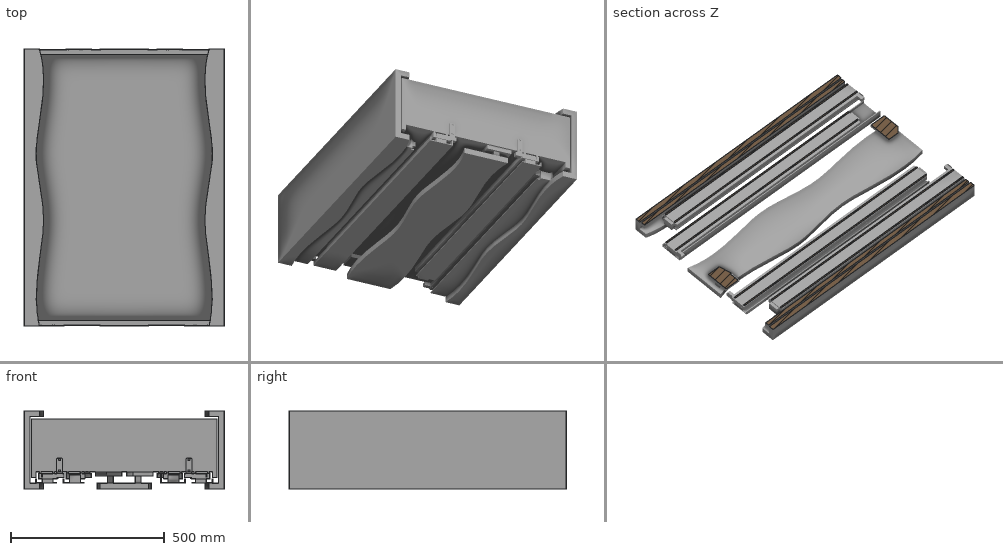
import cadquery as cq

WIDTH = 650.0
DEPTH = 900.0
HEIGHT = 254.0
BOARD = 19.0
HALF_WIDTH = WIDTH / 2
HALF_DEPTH = DEPTH / 2

WAVE = [(-450, 49), (-345, 40), (-224, 51), (-106, 63), (0, 52),
        (102, 39), (222, 51), (346, 63), (450, 49)]
SLOT_WIDTH = 198.0

DRAWER_HALF_WIDTH = 302.0
DRAWER_HALF_DEPTH = 447.5
DRAWER_WALL = 16.0
DRAWER_TOP = 228.0
FLOOR_BOTTOM = 56.0
FLOOR_TOP = 67.0
SIDE_BOTTOM = 37.0

SHEET = 3.0
RAIL_OUTER = -288.0
RAIL_INNER = -220.0
RAIL_LIP_TOP = 33.0
SLIDER_OUTER = -278.0
SLIDER_INNER = -216.0
SLIDER_BOTTOM = 34.0
SLIDER_TOP = 50.0
RIB_WIDTH = 6.5
RIB_CENTERS = (-273.0, -229.0)
RUNNER_SETBACK = 80.0
REAR_SHIFT = 89.0
CARRIAGE_OUTER = -267.0
CARRIAGE_INNER = -231.0
CARRIAGE_TOP = 46.0
CARRIAGE_OVERHANG = 10.0
CHANNEL_INNER = 118.5
CHANNEL_WALL_TOP = 48.0

LATCH_INNER = -195.5
LATCH_DEPTH = 14.0
LATCH_STEP = -218.0
LATCH_END_BOTTOM = 37.0
LATCH_NOTCH_X = -269.0
LATCH_NOTCH_DEPTH = 11.0
CLIP_CENTER = -210.0
CLIP_WIDTH = 19.0
CLIP_TOP = 101.0
CLIP_CHAMFER = 3.0
SCREW_HOLE = 6.5
SCREW_HEIGHTS = (59.5, 95.5)

CATCH_INNER = 8.0
CATCH_OUTER = 57.0
CATCH_BOTTOM = 42.5
CATCH_LENGTH = 60.0
CATCH_SETBACK = 6.0
CATCH_BEVEL = 20.0
CATCH_SLOPE = 10.0
BRACKET_OUTER = 94.0
BRACKET_STEP_HEIGHT = 49.5
BRACKET_STEP_DEPTH = 5.0
POST_WIDTH = 19.0
POST_X = 45.0
POST_Y = 425.0


def block(x0, x1, y0, y1, z0, z1):
    return cq.Workplane("XY").box(x1 - x0, y1 - y0, z1 - z0, centered=False).translate((x0, y0, z0))


def wave_points(shift):
    """Points of the left wavy edge, moved toward the center by shift."""
    return [(-HALF_WIDTH + width + shift, y) for y, width in WAVE]


def mirrored(shape):
    return shape.mirror("YZ")


def cabinet_side():
    wall = block(-HALF_WIDTH, -HALF_WIDTH + BOARD, -HALF_DEPTH, HALF_DEPTH, 0, HEIGHT)
    edge = wave_points(0)
    flange = (
        cq.Workplane("XY")
        .moveTo(-HALF_WIDTH, -HALF_DEPTH)
        .lineTo(*edge[0])
        .spline(edge[1:], includeCurrent=True)
        .lineTo(-HALF_WIDTH, HALF_DEPTH)
        .close()
        .extrude(BOARD)
    )
    return wall.union(flange).union(flange.translate((0, 0, HEIGHT - BOARD)))


def drawer_box():
    box = block(-DRAWER_HALF_WIDTH, DRAWER_HALF_WIDTH, -DRAWER_HALF_DEPTH, DRAWER_HALF_DEPTH,
                SIDE_BOTTOM, DRAWER_TOP)
    inner_x = DRAWER_HALF_WIDTH - DRAWER_WALL
    inner_y = DRAWER_HALF_DEPTH - DRAWER_WALL
    tray = block(-inner_x, inner_x, -inner_y, inner_y, FLOOR_TOP, DRAWER_TOP)
    underside = block(-inner_x, inner_x, -DRAWER_HALF_DEPTH, DRAWER_HALF_DEPTH, SIDE_BOTTOM, FLOOR_BOTTOM)
    return box.cut(tray).cut(underside)


def latch():
    """Handle plate under the drawer face, stepped at its inner end and notched at its outer end."""
    back = -HALF_DEPTH + LATCH_DEPTH
    plate = block(SLIDER_OUTER, LATCH_INNER, -HALF_DEPTH, back, RAIL_LIP_TOP, SLIDER_TOP)
    step = block(LATCH_STEP, LATCH_INNER, -HALF_DEPTH, back, RAIL_LIP_TOP, LATCH_END_BOTTOM)
    notch = block(LATCH_NOTCH_X, LATCH_NOTCH_X + SHEET, -HALF_DEPTH, back,
                  SLIDER_TOP - LATCH_NOTCH_DEPTH, SLIDER_TOP)
    return plate.cut(step).cut(notch)


def clip():
    """Upright plate on the drawer face with two screw holes."""
    plate = block(CLIP_CENTER - CLIP_WIDTH / 2, CLIP_CENTER + CLIP_WIDTH / 2,
                  -HALF_DEPTH, -DRAWER_HALF_DEPTH, SLIDER_TOP, CLIP_TOP)
    plate = plate.edges("|Y and >Z").chamfer(CLIP_CHAMFER)
    for height in SCREW_HEIGHTS:
        hole = (
            cq.Workplane("XZ", origin=(CLIP_CENTER, -DRAWER_HALF_DEPTH, height))
            .circle(SCREW_HOLE / 2)
            .extrude(HALF_DEPTH - DRAWER_HALF_DEPTH)
        )
        plate = plate.cut(hole)
    return plate


def front_runner():
    """Left runner of the drawer front: rail, carriage, slider, ribs, latch and clip."""
    front = -DRAWER_HALF_DEPTH
    back = DRAWER_HALF_DEPTH - RUNNER_SETBACK
    runner = block(RAIL_OUTER, RAIL_INNER, front, back, BOARD, BOARD + SHEET)
    runner = runner.union(block(RAIL_OUTER, RAIL_OUTER + SHEET, front, back, BOARD, RAIL_LIP_TOP))
    runner = runner.union(block(SLIDER_OUTER, SLIDER_INNER, front, back, SLIDER_BOTTOM, SLIDER_TOP))
    runner = runner.union(block(CARRIAGE_OUTER, CARRIAGE_INNER, front, back + CARRIAGE_OVERHANG,
                                BOARD, CARRIAGE_TOP))
    for center in RIB_CENTERS:
        runner = runner.union(block(center - RIB_WIDTH / 2, center + RIB_WIDTH / 2,
                                    front, back, SLIDER_TOP, FLOOR_BOTTOM))
    return runner.union(latch()).union(clip())


def rear_runner():
    """The same runner turned to open at the rear, placed further inward."""
    return front_runner().mirror("XZ").translate((REAR_SHIFT, 0, 0))


def right_channel():
    """Full-length channel that carries the right rear runner, with a higher inner wall."""
    outer = -RAIL_OUTER - REAR_SHIFT
    front = -DRAWER_HALF_DEPTH
    back = DRAWER_HALF_DEPTH
    channel = block(CHANNEL_INNER, outer, front, back, BOARD, BOARD + SHEET)
    channel = channel.union(block(CHANNEL_INNER, CHANNEL_INNER + SHEET, front, back, BOARD, CHANNEL_WALL_TOP))
    return channel.union(block(outer - SHEET, outer, front, back, BOARD, RAIL_LIP_TOP))


def hook(points):
    height = FLOOR_BOTTOM - CATCH_BOTTOM
    return cq.Workplane("XY").workplane(offset=CATCH_BOTTOM).polyline(points).close().extrude(height)


def front_catch():
    """Right catch near the front, bevelled at its inner corner, with its bracket."""
    front = -DRAWER_HALF_DEPTH + CATCH_SETBACK
    back = front + CATCH_LENGTH
    catch = hook([(CATCH_INNER, back), (CATCH_INNER, front + CATCH_BEVEL),
                  (CATCH_INNER + CATCH_BEVEL, front), (CATCH_OUTER, front), (CATCH_OUTER, back)])
    return catch.union(block(CATCH_OUTER, BRACKET_OUTER, front, back, CATCH_BOTTOM, FLOOR_BOTTOM))


def rear_catch():
    """Left catch near the rear, with a sloping front face, and its stepped bracket."""
    back = DRAWER_HALF_DEPTH - CATCH_SETBACK
    front = back - CATCH_LENGTH
    catch = hook([(-CATCH_INNER, back), (-CATCH_INNER, front + CATCH_SLOPE),
                  (-CATCH_OUTER, front), (-CATCH_OUTER, back)])
    foot = block(-BRACKET_OUTER, -CATCH_OUTER, front, back, CATCH_BOTTOM, BRACKET_STEP_HEIGHT)
    top = block(-BRACKET_OUTER, -CATCH_OUTER, front + BRACKET_STEP_DEPTH, back,
                BRACKET_STEP_HEIGHT, FLOOR_BOTTOM)
    return catch.union(foot).union(top)


def drawer_unit():
    unit = drawer_box()
    for part in (cabinet_side(), front_runner(), rear_runner()):
        unit = unit.union(part).union(mirrored(part))
    return unit.union(right_channel()).union(front_catch()).union(rear_catch())


def center_plate():
    left = wave_points(SLOT_WIDTH)
    right = [(-x, y) for x, y in reversed(left)]
    plate = (
        cq.Workplane("XY")
        .moveTo(*left[0])
        .spline(left[1:], includeCurrent=True)
        .lineTo(*right[0])
        .spline(right[1:], includeCurrent=True)
        .close()
        .extrude(BOARD)
    )
    posts = (
        cq.Workplane("XY")
        .workplane(offset=BOARD)
        .pushPoints([(POST_X, -POST_Y), (-POST_X, POST_Y)])
        .rect(POST_WIDTH, POST_WIDTH)
        .extrude(CATCH_BOTTOM - BOARD)
    )
    return plate.union(posts)


drawer = drawer_unit()
foot_rail = center_plate()
result = cq.Compound.makeCompound([drawer.val(), foot_rail.val()])